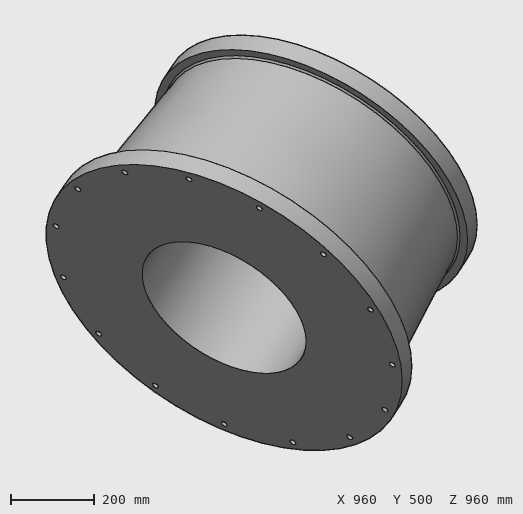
import cadquery as cq

length = 500.0
bore_diameter = 442.0
large_flange_diameter = 960.0
small_flange_diameter = 843.0
flange_thickness = 50.0

drum_large_diameter = 860.0
drum_small_diameter = 793.0
neck_length = 4.0
flare_size = 5.0

hole_count = 15
hole_diameter = 15.0
hole_circle_diameter = 910.0


def make_body():
    """Revolve the flanged, tapered half section around the Y axis."""
    bore_radius = bore_diameter / 2
    large_flange_radius = large_flange_diameter / 2
    small_flange_radius = small_flange_diameter / 2
    drum_large_radius = drum_large_diameter / 2
    drum_small_radius = drum_small_diameter / 2
    drum_end = length - flange_thickness
    section = (
        cq.Workplane("XY")
        .moveTo(bore_radius, 0)
        .lineTo(large_flange_radius, 0)
        .lineTo(large_flange_radius, flange_thickness)
        .lineTo(drum_large_radius, flange_thickness)
        .lineTo(drum_large_radius, flange_thickness + neck_length)
        .lineTo(drum_small_radius, drum_end - flare_size)
        .lineTo(drum_small_radius + flare_size, drum_end)
        .lineTo(small_flange_radius, drum_end)
        .lineTo(small_flange_radius, length)
        .lineTo(bore_radius, length)
        .close()
    )
    return section.revolve(360, (0, 0, 0), (0, 1, 0))


def make_bolt_holes():
    """Hole cylinders evenly spaced around the flange, the first at -Z."""
    return (
        cq.Workplane("XZ")
        .polarArray(hole_circle_diameter / 2, -90, 360, hole_count)
        .circle(hole_diameter / 2)
        .extrude(-flange_thickness)
    )


result = make_body().cut(make_bolt_holes())